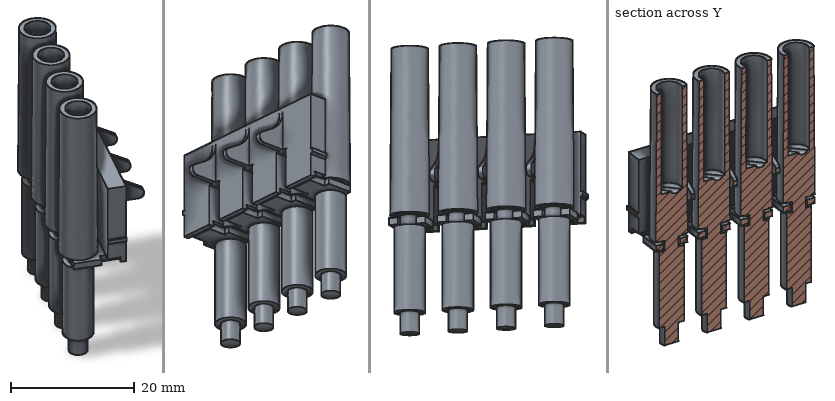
import cadquery as cq
import math

screw_count = 4
pitch = 8.15
screw_xs = [(i - (screw_count - 1) / 2) * pitch for i in range(screw_count)]
fin_xs = [(a + b) / 2 for a, b in zip(screw_xs, screw_xs[1:])]

total_height = 47.1
pin_radius = 1.55
shank_radius = 2.55
shank_bottom = 3.5
shank_top = 17.6
collar_height = 0.15
sleeve_bottom = 19.6
sleeve_bottom_radius = 3.2
sleeve_top_radius = 3.0
bore_radius = 2.1
bore_depth = 18.85
slot_radius = 0.55
slot_angle = -45

bar_width = 30.95
bar_front = 4.1
bar_back = 7.2
bar_top = 32.75
bar_bottom = 25.15
leg_width = 5.75
leg_bottom = 18.1
notch_back = 6.3

ridge_height = 0.4
ridge_top = 22.85
ridge_edge = 22.25
ridge_bottom = 21.9

plate_top = 19.05
plate_bottom = 17.9
plate_width = 6.1
plate_shoulder = 3.1
tongue_width = 4.05

fin_thickness = 0.8
fin_reach = 5.0
fin_tip_radius = 1.0
fin_root_radius = 4.0
fin_slope = math.radians(30)


def box(x_min, x_max, y_min, y_max, z_min, z_max):
    size = (x_max - x_min, y_max - y_min, z_max - z_min)
    return cq.Workplane("XY").box(*size, centered=False).translate((x_min, y_min, z_min))


def centred_box(x, width, y_min, y_max, z_min, z_max):
    return box(x - width / 2, x + width / 2, y_min, y_max, z_min, z_max)


def make_screw():
    """Stepped screw with a tapered, bored sleeve and a driver slot in the bore floor."""
    collar_bottom = sleeve_bottom - collar_height
    bore_floor = total_height - bore_depth
    outline = [
        (0, 0),
        (pin_radius, 0),
        (pin_radius, shank_bottom),
        (shank_radius, shank_bottom),
        (shank_radius, shank_top),
        (pin_radius, shank_top),
        (pin_radius, collar_bottom),
        (shank_radius, collar_bottom),
        (shank_radius, sleeve_bottom),
        (sleeve_bottom_radius, sleeve_bottom),
        (sleeve_top_radius, total_height),
        (bore_radius, total_height),
        (bore_radius, bore_floor),
        (0, bore_floor),
    ]
    body = cq.Workplane("XZ").polyline(outline).close().revolve(360, (0, 0), (0, 1))
    groove = cq.Workplane("YZ").circle(slot_radius).extrude(bore_radius, both=True)
    groove = groove.rotate((0, 0, 0), (0, 0, 1), slot_angle).translate((0, 0, bore_floor))
    bore = cq.Workplane("XY").circle(bore_radius).extrude(total_height)
    return body.cut(groove.intersect(bore))


def make_plate(x):
    """T-shaped fork: open-fronted around the screw, with a tongue reaching into the leg notch."""
    wide = centred_box(x, plate_width, -pin_radius, plate_shoulder, plate_bottom, plate_top)
    tongue = centred_box(x, tongue_width, 0, notch_back, plate_bottom, plate_top)
    open_slot = centred_box(x, 2 * pin_radius, -pin_radius, 0, plate_bottom, plate_top)
    return wide.union(tongue).cut(open_slot)


def make_bar():
    """Bar with one leg per screw; the outer legs run out to the bar ends."""
    half_width = bar_width / 2
    bar = box(-half_width, half_width, bar_front, bar_back, bar_bottom, bar_top)
    for x in screw_xs:
        left = x - leg_width / 2
        right = x + leg_width / 2
        if x == screw_xs[0]:
            left = -half_width
        if x == screw_xs[-1]:
            right = half_width
        bar = bar.union(box(left, right, bar_front, bar_back, leg_bottom, bar_bottom))
    return bar.cut(box(-half_width, half_width, bar_front, notch_back, leg_bottom, plate_top))


def make_ridge(side):
    """Full-depth ridge on one bar end, bevelled underneath."""
    root = side * bar_width / 2
    crest = root + side * ridge_height
    outline = [(root, ridge_bottom), (crest, ridge_edge), (crest, ridge_top), (root, ridge_top)]
    profile = cq.Workplane("XZ", origin=(0, bar_back, 0)).polyline(outline).close()
    return profile.extrude(bar_back - bar_front)


def make_fin(x):
    """Rear and front wings, mirror images about the middle of the bar."""
    bar_middle = (bar_front + bar_back) / 2
    half_depth = (bar_back - bar_front) / 2
    tip_y = half_depth + fin_reach
    tip_centre_y = tip_y - fin_tip_radius
    tip_centre_z = bar_bottom + fin_tip_radius
    tangent_y = tip_centre_y + fin_tip_radius * math.sin(fin_slope)
    tangent_z = tip_centre_z + fin_tip_radius * math.cos(fin_slope)

    arc_turn = math.pi / 2 - fin_slope
    root_centre_y = half_depth + fin_root_radius
    slope_y = root_centre_y - fin_root_radius * math.cos(arc_turn)
    slope_z = tangent_z + (tangent_y - slope_y) * math.tan(fin_slope)
    root_z = slope_z + fin_root_radius * math.sin(arc_turn)
    arc_y = root_centre_y - fin_root_radius * math.cos(arc_turn / 2)
    arc_z = root_z - fin_root_radius * math.sin(arc_turn / 2)

    wing = (
        cq.Workplane("YZ")
        .moveTo(0, bar_bottom)
        .lineTo(0, root_z)
        .lineTo(half_depth, root_z)
        .threePointArc((arc_y, arc_z), (slope_y, slope_z))
        .lineTo(tangent_y, tangent_z)
        .threePointArc((tip_y, tip_centre_z), (tip_centre_y, bar_bottom))
        .close()
        .extrude(fin_thickness / 2, both=True)
    )
    return wing.union(wing.mirror("XZ")).translate((x, bar_middle, 0))


result = make_bar().union(make_ridge(-1)).union(make_ridge(1))
for fin_x in fin_xs:
    result = result.union(make_fin(fin_x))
screw = make_screw()
for screw_x in screw_xs:
    result = result.union(make_plate(screw_x)).union(screw.translate((screw_x, 0, 0)))